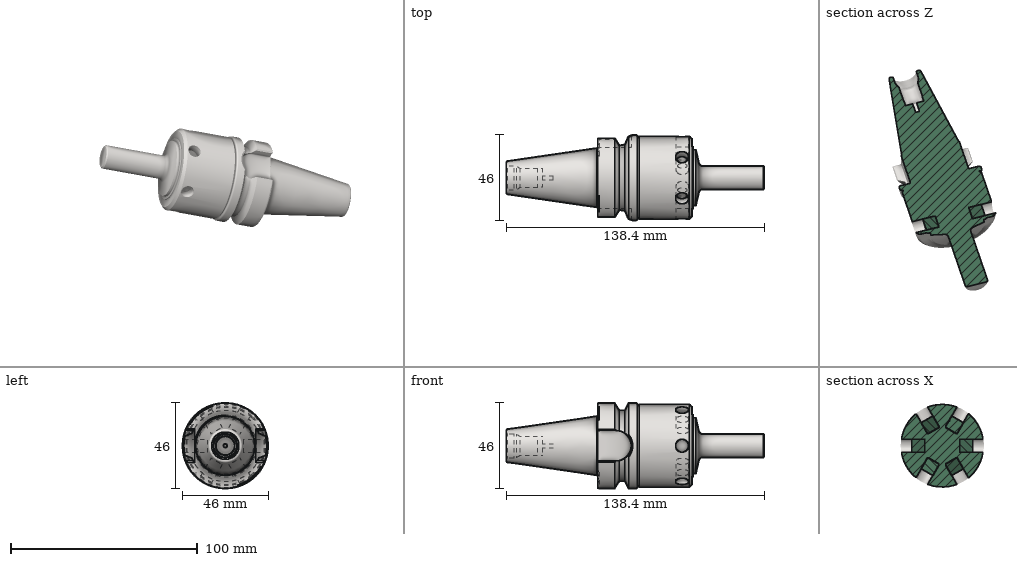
import cadquery as cq

overall_length = 138.4

taper_length = 48.5
taper_large_radius = 15.9
taper_slope = 7 / 48
taper_end_round = 1.1
neck_radius = 15.8
neck_round = 0.5

flange_start = 49.0
flange_end = 70.3
flange_radius = 23.0
flange_round = 0.8
groove_start = 58.1
groove_end = 65.6
groove_floor_start = 60.6
groove_floor_end = 63.7
groove_radius = 19.1

body_end = 99.6
body_radius = 22.3
body_rear_chamfer = 1.0
body_front_chamfer = 1.5

step_radius = 16.6
step_length = 0.5
collar_radius = 30.0 / 2
collar_end = 101.7
nose_radius = 12.7 / 2
nose_round_start = 103.4
nose_round_end = 105.2
nose_round_height = 1.4
nose_chamfer = 0.7

slot_width = 16.3
slot_floor = 16.3
slot_end = 67.0
slot_edge_chamfer = 0.8
slot_floor_round = 0.4

bore_mouth_radius = 7.3
bore_mouth_chamfer = 0.5
counterbore_radius = 12.7 / 2
counterbore_depth = 4.2
cone_mouth_radius = 12.5 / 2
thread_radius = 10.2 / 2
cone_start = 5.4
cone_end = 7.3
thread_depth = 16.6
inner_bore_radius = 10.0 / 2
inner_bore_depth = 19.4
pilot_radius = 2.0 / 2
pilot_depth = 24.9

screw_count = 6
screw_x = 94.3
screw_diameter = 6.9
screw_outer_face = 16.5
screw_length = 6.9


def revolved(profile):
    """Solid of revolution about the X axis from a closed profile drawn in the XY plane."""
    return profile.revolve(360, (0, 0, 0), (1, 0, 0))


def make_holder_blank():
    """The turned holder, without its bore, slots and screw holes."""
    taper_small_radius = taper_large_radius - taper_slope * taper_length
    rounded_radius = taper_small_radius + taper_slope * taper_end_round
    profile = (
        cq.Workplane("XY")
        .moveTo(0, 0)
        .lineTo(0, rounded_radius - taper_end_round)
        .radiusArc((taper_end_round, rounded_radius), taper_end_round)
        .lineTo(taper_length, taper_large_radius)
        .lineTo(flange_start - neck_round, neck_radius)
        .radiusArc((flange_start, neck_radius + neck_round), -neck_round)
        .lineTo(flange_start, flange_radius - flange_round)
        .radiusArc((flange_start + flange_round, flange_radius), flange_round)
        .lineTo(groove_start, flange_radius)
        .lineTo(groove_floor_start, groove_radius)
        .lineTo(groove_floor_end, groove_radius)
        .lineTo(groove_end, flange_radius)
        .lineTo(flange_end - flange_round, flange_radius)
        .radiusArc((flange_end, flange_radius - flange_round), flange_round)
        .lineTo(flange_end, body_radius - body_rear_chamfer)
        .lineTo(flange_end + body_rear_chamfer, body_radius)
        .lineTo(body_end - body_front_chamfer, body_radius)
        .lineTo(body_end, body_radius - body_front_chamfer)
        .lineTo(body_end, step_radius)
        .lineTo(body_end + step_length, step_radius)
        .lineTo(body_end + step_length, collar_radius)
        .lineTo(collar_end, collar_radius)
        .lineTo(nose_round_start, nose_radius + nose_round_height)
    )
    run = nose_round_end - nose_round_start
    round_radius = (run**2 + nose_round_height**2) / (2 * nose_round_height)
    profile = (
        profile.radiusArc((nose_round_end, nose_radius), -round_radius)
        .lineTo(overall_length - nose_chamfer, nose_radius)
        .lineTo(overall_length, nose_radius - nose_chamfer)
        .lineTo(overall_length, 0)
        .close()
    )
    return revolved(profile)


def make_rear_bore():
    """Cutter for the bore: chamfered mouth, counterbore, cone, threaded part and pilot hole."""
    profile = (
        cq.Workplane("XY")
        .moveTo(0, 0)
        .lineTo(0, bore_mouth_radius)
        .lineTo(bore_mouth_chamfer, counterbore_radius)
        .lineTo(counterbore_depth, counterbore_radius)
        .lineTo(counterbore_depth, cone_mouth_radius)
        .lineTo(cone_start, cone_mouth_radius)
        .lineTo(cone_end, thread_radius)
        .lineTo(thread_depth, thread_radius)
        .lineTo(thread_depth, inner_bore_radius)
        .lineTo(inner_bore_depth, inner_bore_radius)
        .lineTo(inner_bore_depth, pilot_radius)
        .lineTo(pilot_depth, pilot_radius)
        .lineTo(pilot_depth, 0)
        .close()
    )
    return revolved(profile)


def make_drive_slot():
    """Cutter for the slot on the +Y side: flared mouth, round end, rounded edges along the floor."""
    half_width = slot_width / 2
    mouth_half_width = half_width + slot_edge_chamfer
    mouth_end = flange_start + slot_edge_chamfer
    arc_centre = slot_end - half_width
    depth = flange_radius - slot_floor
    return (
        cq.Workplane("XZ", origin=(0, slot_floor, 0))
        .moveTo(flange_start, -mouth_half_width)
        .lineTo(mouth_end, -half_width)
        .lineTo(arc_centre, -half_width)
        .threePointArc((slot_end, 0), (arc_centre, half_width))
        .lineTo(mouth_end, half_width)
        .lineTo(flange_start, mouth_half_width)
        .close()
        .extrude(-depth)
        .faces("<Y")
        .edges("not <X")
        .fillet(slot_floor_round)
    )


def is_slot_rim(edge):
    """True for the edges where a slot wall meets one of the two flange lands."""
    box = edge.BoundingBox()
    tolerance = 0.01
    in_slot = box.zmax < slot_width / 2 + tolerance and box.zmin > -slot_width / 2 - tolerance
    above_floor = abs(edge.Center().y) > slot_floor + slot_floor_round + tolerance
    on_front_land = box.xmin > flange_start + tolerance and box.xmax < groove_start + tolerance
    along_axis = edge.geomType() == "LINE" and box.xmax - box.xmin > slot_edge_chamfer
    on_rear_land = box.xmin > groove_end - tolerance and box.xmax < slot_end + tolerance
    return in_slot and above_floor and (on_rear_land or (on_front_land and along_axis))


def make_screw(index):
    """One radial screw at its place in the ring; the first one points along -Y."""
    screw = (
        cq.Workplane("XZ", origin=(screw_x, -screw_outer_face, 0))
        .circle(screw_diameter / 2)
        .extrude(-screw_length)
    )
    return screw.rotate((0, 0, 0), (1, 0, 0), index * 360 / screw_count)


def make_screw_hole(index):
    """Flat-bottomed radial hole from the body surface to the inner end of a screw."""
    hole_floor = screw_outer_face - screw_length
    hole = (
        cq.Workplane("XZ", origin=(screw_x, -hole_floor, 0))
        .circle(screw_diameter / 2)
        .extrude(body_radius - hole_floor)
    )
    return hole.rotate((0, 0, 0), (1, 0, 0), index * 360 / screw_count)


def make_holder():
    slot = make_drive_slot()
    holder = make_holder_blank().cut(make_rear_bore()).cut(slot).cut(slot.mirror("XZ"))
    slot_rims = [edge for edge in holder.edges().vals() if is_slot_rim(edge)]
    holder = holder.newObject(slot_rims).chamfer(slot_edge_chamfer)
    for index in range(screw_count):
        holder = holder.cut(make_screw_hole(index))
    return holder


holder = make_holder()
screws = [make_screw(index) for index in range(screw_count)]

result = cq.Compound.makeCompound([holder.val(), *[screw.val() for screw in screws]])